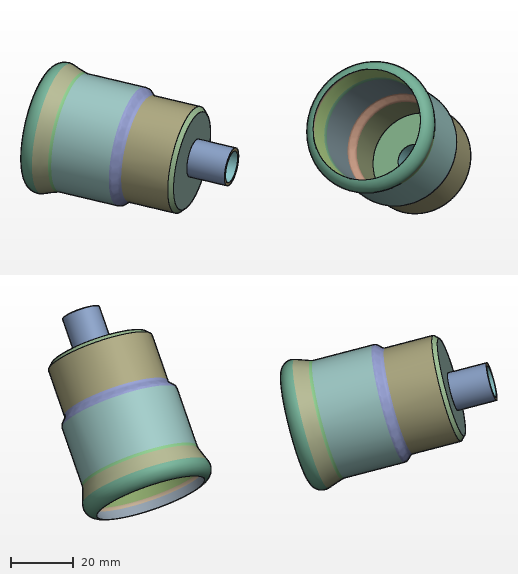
import cadquery as cq
import math

length = 64.5
rear_face = 51.6
body_start = 10.95
step_start = 30.75
step_end = 34.25
rear_chamfer = 1.4

rim_diameter = 43.0
rim_radius = rim_diameter / 2
mouth_radius = 18.2
body_radius = 19.5
rear_radius = 17.55
wall = 2.1

bead_radius = 3.9
cone_angle = math.radians(18.5)
bend_radius = 3.2
groove_start = 3.15

spigot_radius = 6.25
bore_radius = 5.2
spigot_offset = 1.7

bead_center_r = rim_radius - bead_radius
bead_center_x = math.sqrt(bead_radius**2 - (mouth_radius - bead_center_r) ** 2)
floor_x = rear_face - wall


def bead_point(radius, angle):
    """Point on a circle about the bead center; the angle is measured from the radial direction towards +X."""
    return (
        bead_center_x + radius * math.sin(angle),
        bead_center_r + radius * math.cos(angle),
    )


def add_bend_and_step(profile, inset):
    """Continue a profile through the bend, the body and the S-shaped step, inset from the outside."""
    arc_radius = bend_radius + inset

    def bend_point(angle):
        """Point on the bend where the surface slopes at the given angle to X."""
        return (
            body_start - arc_radius * math.sin(angle),
            body_radius - inset + arc_radius * (1 - math.cos(angle)),
        )

    return (
        profile.lineTo(*bend_point(cone_angle))
        .threePointArc(bend_point(cone_angle / 2), bend_point(0))
        .lineTo(step_start, body_radius - inset)
        .spline(
            [(step_end, rear_radius - inset)],
            tangents=[(1, 0), (1, 0)],
            includeCurrent=True,
        )
    )


def make_outside():
    """Solid of revolution bounded by the outer surface of the cup."""
    profile = (
        cq.Workplane("XY")
        .moveTo(0, 0)
        .lineTo(0, mouth_radius)
        .threePointArc(bead_point(bead_radius, 0), bead_point(bead_radius, cone_angle))
    )
    profile = (
        add_bend_and_step(profile, 0)
        .lineTo(rear_face - rear_chamfer, rear_radius)
        .lineTo(rear_face, rear_radius - rear_chamfer)
        .lineTo(rear_face, 0)
        .close()
    )
    return profile.revolve(360, (0, 0), (1, 0))


def make_cavity():
    """Inside of the cup, flaring behind the mouth into the rolled rim."""
    groove_radius = bead_radius - wall
    groove_angle = math.asin((groove_start - bead_center_x) / groove_radius)
    profile = (
        cq.Workplane("XY")
        .moveTo(0, 0)
        .lineTo(0, mouth_radius)
        .lineTo(*bead_point(groove_radius, groove_angle))
        .threePointArc(bead_point(groove_radius, 0), bead_point(groove_radius, cone_angle))
    )
    profile = (
        add_bend_and_step(profile, wall)
        .lineTo(floor_x, rear_radius - wall)
        .lineTo(floor_x, 0)
        .close()
    )
    return profile.revolve(360, (0, 0), (1, 0))


def make_rod(radius):
    """Cylinder on the spigot axis from the cavity floor to the rear end."""
    return (
        cq.Workplane("YZ", origin=(floor_x, spigot_offset, 0))
        .circle(radius)
        .extrude(length - floor_x)
    )


result = (
    make_outside()
    .union(make_rod(spigot_radius))
    .cut(make_cavity())
    .cut(make_rod(bore_radius))
)